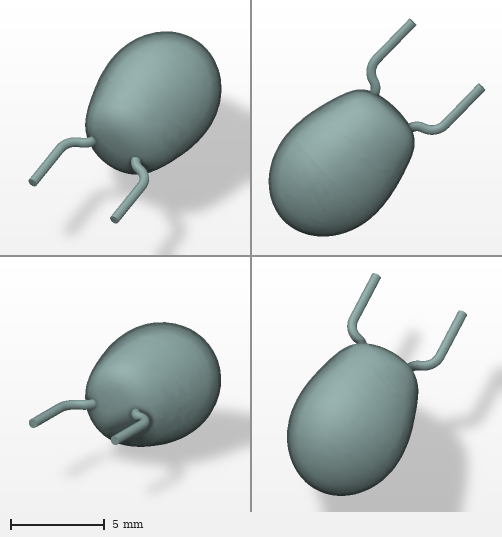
import cadquery as cq
import math

total_length = 12.52

body_radius = 3.19
base_y = 4.06
widest_y = 8.7
crown_reach_along = 2.25
crown_reach_across = 1.64
base_reach_across = 2.95
taper_control_radius = 2.08
taper_control_y = 5.45
taper_reach_along = 2.27

lead_diameter = 0.51
lead_offset = 2.54
straight_length = 2.82
outer_bend_radius = 0.99
inner_bend_radius = 0.73
bend_angle = math.radians(74)
embedded_length = 0.75


def make_body():
    """Two Bezier curves that meet smoothly at the widest point, square to the axis at both ends."""
    base_to_widest = [
        (0, base_y),
        (base_reach_across, base_y),
        (taper_control_radius, taper_control_y),
        (body_radius, widest_y - taper_reach_along),
        (body_radius, widest_y),
    ]
    widest_to_crown = [
        (body_radius, widest_y),
        (body_radius, widest_y + crown_reach_along),
        (crown_reach_across, total_length),
        (0, total_length),
    ]
    profile = cq.Workplane("XY").bezier(base_to_widest).bezier(widest_to_crown).close()
    return profile.revolve(360, (0, 0), (0, 1))


def make_lead():
    """Round wire on the +X side: straight, bent inward, then bent back into the body."""
    outer_center_x = lead_offset - outer_bend_radius
    joint_x = outer_center_x + outer_bend_radius * math.cos(bend_angle)
    joint_y = straight_length + outer_bend_radius * math.sin(bend_angle)
    inner_end_x = joint_x - inner_bend_radius * (1 - math.cos(bend_angle))
    inner_end_y = joint_y + inner_bend_radius * math.sin(bend_angle)
    path = (
        cq.Workplane("XY")
        .moveTo(lead_offset, 0)
        .lineTo(lead_offset, straight_length)
        .tangentArcPoint((joint_x, joint_y), relative=False)
        .tangentArcPoint((inner_end_x, inner_end_y), relative=False)
        .lineTo(inner_end_x, inner_end_y + embedded_length)
    )
    section = cq.Workplane("XZ").center(lead_offset, 0).circle(lead_diameter / 2)
    return section.sweep(path)


lead = make_lead()
result = make_body().union(lead).union(lead.mirror("YZ"))